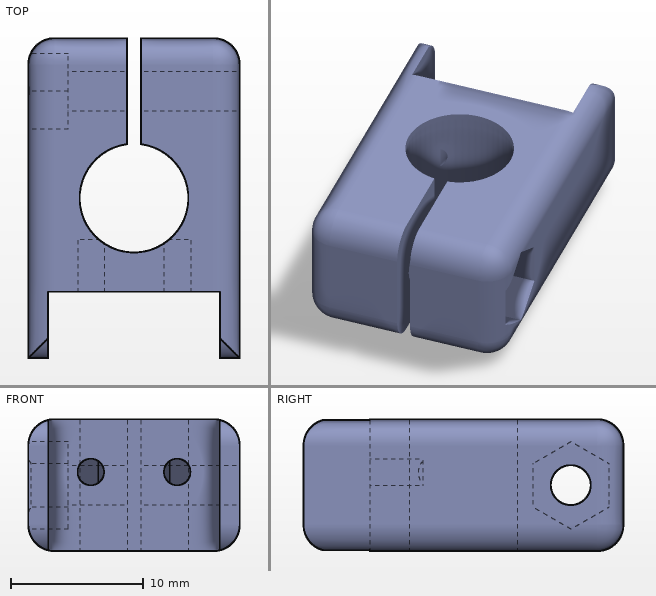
import cadquery as cq

width = 16.0
length = 24.2
height = 10.0
edge_radius = 2.0

tab_length = 5.0
tab_thickness = 1.5

bore_diameter = 8.2
slit_width = 1.05

screw_diameter = 3.0
screw_inset = 4.0
nut_across_corners = 6.6
nut_depth = 3.0

pin_diameter = 2.0
pin_spacing = 6.53
pin_height = 1.0
pin_depth = 4.0

back_y = length / 2
recess_floor_y = tab_length - length / 2
screw_y = back_y - screw_inset


def rounded_body():
    """Block with every edge rounded except the upright ones at the tab ends."""
    body = cq.Workplane("XY").box(width, length, height)
    return body.edges("|Y or >Y or (|X and <Y)").fillet(edge_radius)


def tab_recess():
    """Full-height gap that leaves a tab on each side."""
    gap = width - 2 * tab_thickness
    return cq.Workplane("XY").box(gap, tab_length, height).translate((0, recess_floor_y - tab_length / 2, 0))


def bore_and_slit():
    """Central through bore joined to the slit running out of the back."""
    bore = cq.Workplane("XY").circle(bore_diameter / 2).extrude(height / 2, both=True)
    slit = cq.Workplane("XY").box(slit_width, back_y, height).translate((0, back_y / 2, 0))
    return bore.union(slit)


def screw_and_nut():
    """Cross hole through both clamp arms with a hexagonal nut pocket on -X."""
    side = cq.Workplane("YZ", origin=(-width / 2, screw_y, 0))
    hole = side.circle(screw_diameter / 2).extrude(width)
    nut = side.transformed(rotate=(0, 0, 90)).polygon(6, nut_across_corners).extrude(nut_depth)
    return hole.union(nut)


def pin_holes():
    """Pair of flat-bottomed holes running in +Y from the recess floor."""
    floor = cq.Workplane("XZ", origin=(0, recess_floor_y, pin_height))
    centres = [(-pin_spacing / 2, 0), (pin_spacing / 2, 0)]
    return floor.pushPoints(centres).circle(pin_diameter / 2).extrude(-pin_depth)


result = rounded_body()
for cutter in (tab_recess(), bore_and_slit(), screw_and_nut(), pin_holes()):
    result = result.cut(cutter)